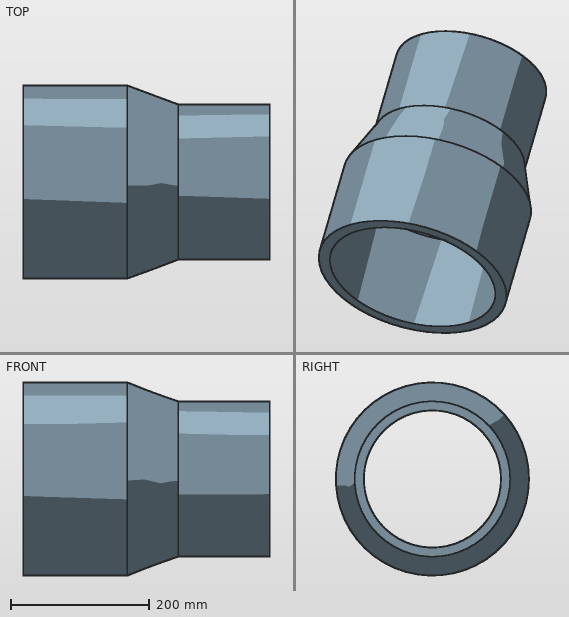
import cadquery as cq

total_length = 357.0
large_length = 150.5
small_length = 132.5
taper_end = total_length - small_length

large_outer_radius = 280.0 / 2
large_inner_radius = 246.7 / 2
small_outer_radius = 225.0 / 2
small_inner_radius = 198.0 / 2


def reducer_body(large_radius, small_radius):
    """Solid of revolution about X: large cylinder, taper, small cylinder."""
    profile = (
        cq.Workplane("XY")
        .polyline([
            (0, 0),
            (0, large_radius),
            (large_length, large_radius),
            (taper_end, small_radius),
            (total_length, small_radius),
            (total_length, 0),
        ])
        .close()
    )
    return profile.revolve(360, (0, 0, 0), (1, 0, 0))


outer_body = reducer_body(large_outer_radius, small_outer_radius)
bore = reducer_body(large_inner_radius, small_inner_radius)

result = outer_body.cut(bore)